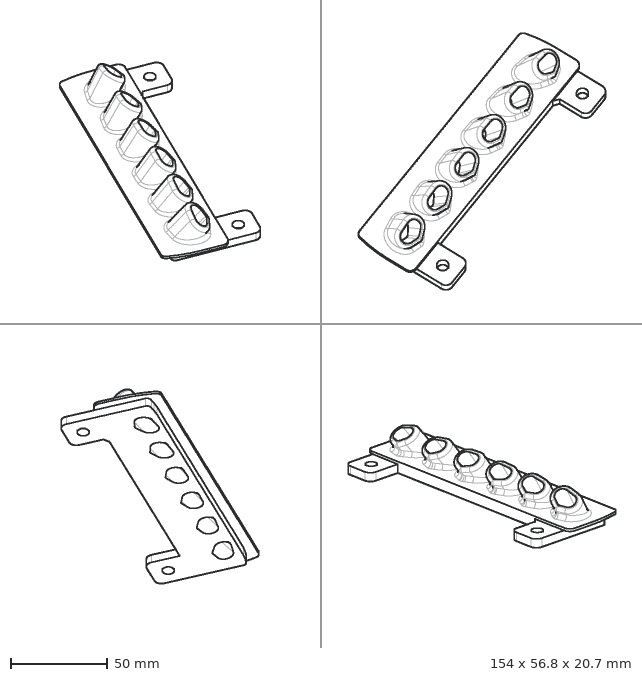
import cadquery as cq
import math

plate_width = 154.0
plate_depth = 37.0
plate_thickness = 1.5
plate_straight_side = 16.0
plate_side_radius = 80.0
plate_back_corner = 3.8
plate_front_corner = 3.0

slab_height = 5.0
slab_width = 145.5
slab_front_setback = 5.6
slab_front_flat = 128.4
slab_corner_depth = 3.2
slab_taper_width = 136.0
slab_taper_depth = 0.35
slab_knuckle_width = 140.4
slab_knuckle_depth = 0.8
tab_length = 19.8
tab_width = 19.2
tab_corner = 4.0
tab_hole_diameter = 6.3
brace_length = 3.0
brace_height = 2.2

nozzles_per_side = 3
nozzle_pitch = 23.6
nozzle_y = -18.3
fan_step = 6.0
lean_angle = 34.0
nozzle_length = 12.6
front_flat = 6.0
bore_front = 4.2
bore_ridge = 5.1
wall = 2.7
roof_angle = 22.0
ridge_radius = 2.0
rim_radius = 1.9
root_radius = 1.9

plate_top = slab_height + plate_thickness
tab_x = (slab_width - tab_width) / 2


def mirrored(half):
    """Complete a right-hand half with its mirror image across X = 0."""
    return half.union(half.mirror("YZ"))


def make_plate_half():
    half = plate_width / 2
    taper_length = plate_depth - plate_straight_side

    def side_x(run):
        return half - plate_side_radius + math.sqrt(plate_side_radius**2 - run**2)

    plate = (
        cq.Workplane("XY", origin=(0, 0, slab_height))
        .lineTo(half, 0)
        .lineTo(half, -plate_straight_side)
        .threePointArc(
            (side_x(taper_length / 2), -plate_straight_side - taper_length / 2),
            (side_x(taper_length), -plate_depth),
        )
        .lineTo(0, -plate_depth)
        .close()
        .extrude(plate_thickness)
    )
    plate = plate.edges("|Z").edges(">X and >Y").fillet(plate_back_corner)
    return plate.edges("|Z").edges("<Y").edges(">X").fillet(plate_front_corner)


def make_slab():
    front_y = slab_front_setback - plate_depth
    half = slab_width / 2
    side = (half, front_y + slab_corner_depth)
    taper = (slab_taper_width / 2, front_y + slab_taper_depth)
    knuckle = (slab_knuckle_width / 2, front_y + slab_knuckle_depth)
    half_slab = (
        cq.Workplane("XY")
        .moveTo(half, 0)
        .lineTo(*side)
        .tangentArcPoint(knuckle, relative=False)
        .lineTo(*taper)
        .lineTo(slab_front_flat / 2, front_y)
        .lineTo(0, front_y)
        .lineTo(0, 0)
        .close()
        .extrude(slab_height)
    )
    return mirrored(half_slab)


def make_tab(x):
    return (
        cq.Workplane("XY")
        .center(x, tab_length / 2)
        .rect(tab_width, tab_length)
        .extrude(slab_height)
        .edges("|Z and >Y")
        .fillet(tab_corner)
        .faces(">Z")
        .workplane(origin=(x, tab_length / 2))
        .hole(tab_hole_diameter)
    )


def make_brace():
    tab_edge = -tab_x + tab_width / 2
    return (
        cq.Workplane("XY")
        .moveTo(tab_edge, 0)
        .lineTo(tab_edge + brace_length, 0)
        .lineTo(tab_edge, brace_height)
        .close()
        .extrude(slab_height)
    )


def tube(growth, start, end):
    """Prism along Z: flat front, round sides and a ridged rear, grown outwards from the bore outline."""
    slope = math.radians(roof_angle)
    lobe_x = front_flat / 2
    front_y = -(bore_front + growth)
    ridge_y = bore_ridge + growth / math.cos(slope)
    radius = (ridge_y - front_y - lobe_x * math.tan(slope)) / (1 + 1 / math.cos(slope))
    lobe_y = front_y + radius
    shoulder = (lobe_x + radius * math.sin(slope), lobe_y + radius * math.cos(slope))
    return (
        cq.Workplane("XY", origin=(0, 0, start))
        .moveTo(-lobe_x, front_y)
        .lineTo(lobe_x, front_y)
        .threePointArc((lobe_x + radius, lobe_y), shoulder)
        .lineTo(0, ridge_y)
        .lineTo(-shoulder[0], shoulder[1])
        .threePointArc((-lobe_x - radius, lobe_y), (-lobe_x, front_y))
        .close()
        .extrude(end - start)
        .edges("|Z and >Y")
        .fillet(ridge_radius)
    )


def place_nozzle(body, index):
    """Move a body from the Z axis to nozzle number index, counted outwards from X = 0."""
    steps = index + 0.5
    return (
        body.rotate((0, 0, 0), (1, 0, 0), -lean_angle)
        .rotate((0, 0, 0), (0, 1, 0), steps * fan_step)
        .translate((steps * nozzle_pitch, nozzle_y, plate_top))
    )


def make_panel_half():
    """Right half of the plate with its nozzle tubes, still solid, and their root fillets."""
    buried_length = 2 * (bore_front + wall)
    shell = tube(wall, -buried_length, nozzle_length).faces(">Z").edges().fillet(rim_radius)
    above_plate = (
        cq.Workplane("XY", origin=(0, 0, plate_top))
        .rect(2 * plate_width, 2 * plate_width)
        .extrude(2 * nozzle_length)
    )
    panel = make_plate_half()
    for index in range(nozzles_per_side):
        panel = panel.union(place_nozzle(shell, index).intersect(above_plate))
    top_face = panel.faces("+Z").faces(cq.selectors.AreaNthSelector(-1))
    root_edges = [edge for wire in top_face.val().innerWires() for edge in wire.Edges()]
    return panel.newObject(root_edges).fillet(root_radius)


def cut_bores(body):
    """Open every nozzle from its mouth out through the underside."""
    reach_below = 2 * (plate_top + bore_front)
    bore = tube(0, -reach_below, nozzle_length + wall)
    for index in range(nozzles_per_side):
        right_bore = place_nozzle(bore, index)
        body = body.cut(right_bore).cut(right_bore.mirror("YZ"))
    return body


result = mirrored(make_panel_half()).union(make_slab()).union(make_brace())
for x in (-tab_x, tab_x):
    result = result.union(make_tab(x))
result = cut_bores(result)